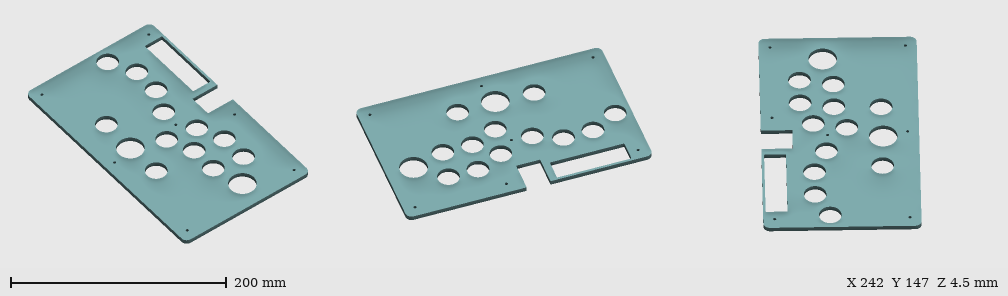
import cadquery as cq

length = 242.0
width = 147.0
thickness = 4.5
corner_radius = 6.0

screw_diameter = 3.0
screw_inset_x = 11.1
screw_inset_y = 10.6
screw_x = length / 2 - screw_inset_x
screw_y = width / 2 - screw_inset_y
top_screw_x = 19.8
middle_screw = (-3.1, 11.5)

button_diameter = 21.0
large_button_diameter = 26.5
left_arc_buttons = [(-105.5, 11.1), (-79.0, 24.7), (-49.9, 24.7), (-23.2, 13.0)]
upper_row_buttons = [(11.9, 24.7), (38.5, 36.3), (67.5, 36.3)]
row_shift_x = -5.5
row_shift_y = -31.2
lower_row_buttons = [(x + row_shift_x, y + row_shift_y) for x, y in upper_row_buttons]
thumb_button_y = -38.7
thumb_buttons = [(-43.3, thumb_button_y), (32.0, thumb_button_y)]
large_buttons = [(-5.5, -40.0), (94.1, 14.3)]

window_length = 73.3
window_width = 20.3
window_left = -100.5
window_edge_wall = 2.5
window_corner_radius = 1.0

notch_left = -19.8
notch_length = 23.5
notch_depth = 29.3


def round_cutters(points, diameter):
    """Cylinders through the full plate thickness at the given centres."""
    return cq.Workplane("XY").pushPoints(points).circle(diameter / 2).extrude(thickness)


def box_cutter(left, top, size_x, size_y):
    """Block through the full plate thickness, placed by its left and back sides."""
    return (
        cq.Workplane("XY")
        .center(left + size_x / 2, top - size_y / 2)
        .rect(size_x, size_y)
        .extrude(thickness)
    )


plate = cq.Workplane("XY").rect(length, width).extrude(thickness)
plate = plate.edges("|Z").fillet(corner_radius)

screw_points = [(x, y) for x in (-screw_x, screw_x) for y in (-screw_y, screw_y)]
screw_points += [(0, -screw_y), (top_screw_x, screw_y), middle_screw]

button_points = left_arc_buttons + upper_row_buttons + lower_row_buttons + thumb_buttons

window = box_cutter(window_left, width / 2 - window_edge_wall, window_length, window_width)
window = window.edges("|Z").fillet(window_corner_radius)
notch = box_cutter(notch_left, width / 2, notch_length, notch_depth)

result = (
    plate.cut(round_cutters(screw_points, screw_diameter))
    .cut(round_cutters(button_points, button_diameter))
    .cut(round_cutters(large_buttons, large_button_diameter))
    .cut(window)
    .cut(notch)
)